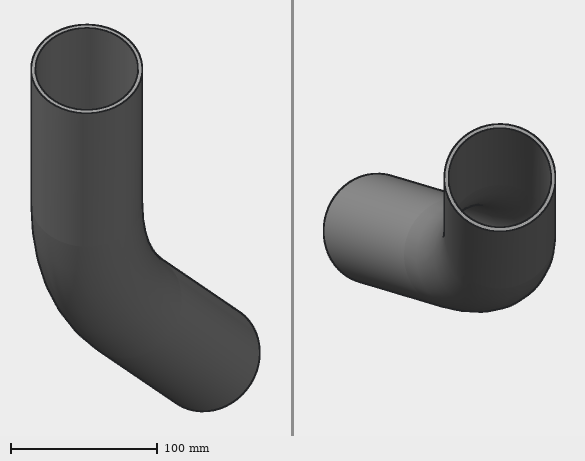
import cadquery as cq
import math

outer_diameter = 76.0
inner_diameter = 70.0
leg_length = 151.5
bend_angle = 30.0
overall_height = 456.0

angle = math.radians(bend_angle)
legs_height = leg_length * (1 + math.cos(angle))
rim_height = outer_diameter / 2 * math.sin(angle)
bend_radius = (overall_height - legs_height - rim_height) / math.sin(angle)


def bend_point(turn):
    """Point (Y, Z) on the bend centreline after turning through an angle."""
    return (
        bend_radius * (1 - math.cos(turn)),
        -bend_radius * math.sin(turn),
    )


bend_end_y, bend_end_z = bend_point(angle)
lower_end = (
    bend_end_y + leg_length * math.sin(angle),
    bend_end_z - leg_length * math.cos(angle),
)
centreline = (
    cq.Workplane("YZ")
    .moveTo(0, leg_length)
    .lineTo(0, 0)
    .threePointArc(bend_point(angle / 2), (bend_end_y, bend_end_z))
    .lineTo(*lower_end)
)

result = (
    cq.Workplane("XY", origin=(0, 0, leg_length))
    .circle(outer_diameter / 2)
    .circle(inner_diameter / 2)
    .sweep(centreline)
)